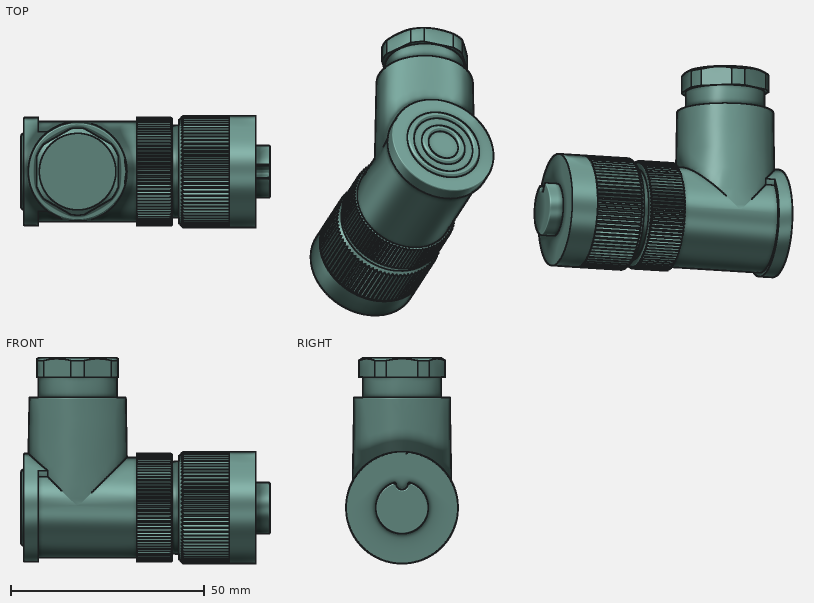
import cadquery as cq
import math


ring_crest_x = -14.65
flange_face_x = -13.95
flange_back_x = -10.15
body_end_x = 15.3
ring_knurl_end_x = 24.5
neck_round_end_x = 25.4
sleeve_start_x = 26.2
sleeve_knurl_end_x = 39.2
sleeve_end_x = 46.1
insert_end_x = 49.75

body_dia = 26.0
flange_dia = 28.0
ring_knurl_dia = 28.0
neck_dia = 24.0
sleeve_dia = 29.0
insert_dia = 13.6

flange_edge_fillet = 0.4
shoulder_width = 20.6
shoulder_end_x = -6.0
face_ring_mean_dias = (10.0, 18.0)
face_ring_width = 1.85
ring_knurl_teeth = 90
ring_knurl_fillet = 0.6
sleeve_knurl_teeth = 80
tooth_depth = 0.5
neck_round_radius = 2.0
sleeve_chamfer = 1.15
insert_edge_fillet = 0.5
key_groove_dia = 3.05
key_mouth_width = 3.8

branch_top_z = 28.5
branch_draft = 1.0
branch_edge_fillet = 0.3
collar_dia = 20.4
nut_bottom_z = 33.7
nut_top_z = 38.8
nut_across_flats = 21.0
nut_corner_dia = 22.5
nut_face_dia = 19.8
nut_chamfer_angle = 30.0


def x_cylinder(dia, start_x, end_x):
    """Cylinder on the barrel axis."""
    return cq.Workplane("YZ", origin=(start_x, 0, 0)).circle(dia / 2).extrude(end_x - start_x)


def z_cylinder(dia, start_z, end_z):
    """Cylinder on the branch axis."""
    return cq.Workplane("XY", origin=(0, 0, start_z)).circle(dia / 2).extrude(end_z - start_z)


def knurled_cylinder(dia, teeth, start_x, end_x):
    """Cylinder with sharp V-shaped teeth; one root points along -Y."""
    crest_r = dia / 2
    points = []
    for i in range(2 * teeth):
        radius = crest_r - tooth_depth if i % 2 == 0 else crest_r
        angle = math.pi + i * math.pi / teeth
        points.append((radius * math.cos(angle), radius * math.sin(angle)))
    outline = cq.Workplane("YZ", origin=(start_x, 0, 0)).polyline(points).close()
    return outline.extrude(end_x - start_x)


def make_flange():
    """End flange whose rim runs on, as a shoulder, into the cable branch."""
    flange = x_cylinder(flange_dia, flange_face_x, flange_back_x)
    flange = flange.faces("<X").edges().fillet(flange_edge_fillet)
    shoulder_length = shoulder_end_x - flange_back_x
    shoulder_box = cq.Workplane("XY").box(
        shoulder_length, shoulder_width, flange_dia / 2, centered=(False, True, False)
    ).translate((flange_back_x, 0, 0))
    shoulder = x_cylinder(flange_dia, flange_back_x, shoulder_end_x).intersect(shoulder_box)
    return flange.union(shoulder)


def make_face_ring(mean_dia):
    """Raised ring of rounded section on the flange face."""
    inner_r = (mean_dia - face_ring_width) / 2
    outer_r = (mean_dia + face_ring_width) / 2
    section = (
        cq.Workplane("XY")
        .moveTo(flange_face_x + flange_edge_fillet, inner_r)
        .lineTo(flange_face_x, inner_r)
        .threePointArc((ring_crest_x, mean_dia / 2), (flange_face_x, outer_r))
        .lineTo(flange_face_x + flange_edge_fillet, outer_r)
        .close()
    )
    return section.revolve(360, (0, 0, 0), (1, 0, 0))


def make_knurled_ring():
    """Knurled ring at the end of the body."""
    ring = knurled_cylinder(ring_knurl_dia, ring_knurl_teeth, body_end_x, ring_knurl_end_x)
    envelope = x_cylinder(ring_knurl_dia, body_end_x, ring_knurl_end_x)
    return ring.intersect(envelope.faces(">X").edges().fillet(ring_knurl_fillet))


def make_neck():
    """Neck before the sleeve; its rounded end is partly buried in the knurled ring."""
    neck = x_cylinder(neck_dia, neck_round_end_x - neck_round_radius, sleeve_start_x)
    return neck.faces("<X").edges().fillet(neck_round_radius)


def make_sleeve():
    """Coupling sleeve: chamfered knurled length followed by a plain length."""
    knurl = knurled_cylinder(sleeve_dia, sleeve_knurl_teeth, sleeve_start_x, sleeve_knurl_end_x)
    envelope = x_cylinder(sleeve_dia, sleeve_start_x, sleeve_knurl_end_x)
    knurl = knurl.intersect(envelope.faces("<X").chamfer(sleeve_chamfer))
    return knurl.union(x_cylinder(sleeve_dia, sleeve_knurl_end_x, sleeve_end_x))


def make_insert():
    """Contact insert with a round-bottomed key groove along its top."""
    insert = x_cylinder(insert_dia, sleeve_end_x, insert_end_x)
    length = insert_end_x - sleeve_end_x
    top_z = insert_dia / 2
    mouth_half = key_mouth_width / 2
    groove_r = key_groove_dia / 2
    mouth_z = math.sqrt(top_z**2 - mouth_half**2)
    groove_z = mouth_z - (mouth_half - groove_r)
    groove = (
        cq.Workplane("YZ", origin=(sleeve_end_x, 0, 0))
        .moveTo(-mouth_half, top_z)
        .lineTo(-mouth_half, mouth_z)
        .lineTo(-groove_r, groove_z)
        .threePointArc((0, groove_z - groove_r), (groove_r, groove_z))
        .lineTo(mouth_half, mouth_z)
        .lineTo(mouth_half, top_z)
        .close()
        .extrude(length)
    )
    return insert.cut(groove).faces(">X").edges().fillet(insert_edge_fillet)


def make_branch():
    """Drafted cable branch, as wide as the body where it starts on the barrel axis."""
    branch = cq.Workplane("XY").circle(body_dia / 2).extrude(branch_top_z, taper=branch_draft)
    return branch.faces(">Z").edges().fillet(branch_edge_fillet)


def make_nut():
    """Hexagonal nut with two flats square to X, corners turned down and its top chamfered."""
    height = nut_top_z - nut_bottom_z
    hexagon = (
        cq.Workplane("XY", origin=(0, 0, nut_bottom_z))
        .polygon(6, nut_across_flats, circumscribed=True)
        .extrude(height)
    )
    chamfer_width = (nut_corner_dia - nut_face_dia) / 2
    chamfer_drop = chamfer_width * math.tan(math.radians(nut_chamfer_angle))
    blank = (
        cq.Workplane("XZ")
        .moveTo(0, nut_bottom_z)
        .lineTo(nut_corner_dia / 2, nut_bottom_z)
        .lineTo(nut_corner_dia / 2, nut_top_z - chamfer_drop)
        .lineTo(nut_face_dia / 2, nut_top_z)
        .lineTo(0, nut_top_z)
        .close()
        .revolve(360, (0, 0, 0), (0, 1, 0))
    )
    return hexagon.intersect(blank)


result = x_cylinder(body_dia, flange_back_x, body_end_x).union(make_flange())
for ring_dia in face_ring_mean_dias:
    result = result.union(make_face_ring(ring_dia))
result = result.union(make_knurled_ring())
result = result.union(make_neck())
result = result.union(make_sleeve())
result = result.union(make_insert())
result = result.union(make_branch())
result = result.union(z_cylinder(collar_dia, branch_top_z, nut_bottom_z))
result = result.union(make_nut())